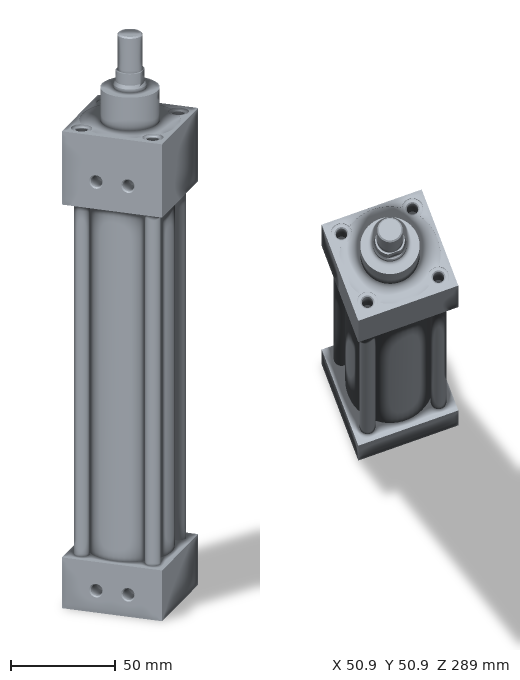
import cadquery as cq
import math

BLOCK_SIDE = 50.9
REAR_HEIGHT = 26.0
HEAD_HEIGHT = 37.5
HEAD_BOTTOM = 207.0
HEAD_TOP = HEAD_BOTTOM + HEAD_HEIGHT

BARREL_DIAMETER = 42.8
TIE_ROD_DIAMETER = 7.5
TIE_ROD_PITCH = 36.0
BARREL_LENGTH = HEAD_BOTTOM - REAR_HEIGHT

BOSS_DIAMETER = 28.3
BOSS_HEIGHT = 16.8
BOSS_TOP = HEAD_TOP + BOSS_HEIGHT
FACE_DIAMETER = 48.3
FACE_DEPTH = 0.3

MOUNT_BORE_DIAMETER = 10.0
MOUNT_BORE_DEPTH = 0.5
MOUNT_HOLE_DIAMETER = 5.5
MOUNT_HOLE_DEPTH = 14.5

PORT_PITCH = 16.2
PORT_HOLE_DIAMETER = 5.8
PORT_HOLE_DEPTH = 8.7
REAR_PORT_Z = 11.3
HEAD_PORT_Z = 220.7

ENTRY_CHAMFER = 0.5
DRILL_POINT_ANGLE = 118.0

ROD_END = 289.0
ROD_DIAMETER = 16.0
ROD_BOTTOM = HEAD_BOTTOM
ROD_SHOULDER = 263.0
NECK_DIAMETER = 14.2
NECK_BOTTOM = 264.7
THREAD_DIAMETER = 12.0
THREAD_LENGTH = 18.5
THREAD_CHAMFER = 0.72
NECK_TOP = ROD_END - THREAD_LENGTH

FLAT_WIDTH = 12.7
FLAT_BOTTOM = 263.8


def block(bottom, height):
    """Square block centred on the Z axis."""
    base = cq.Workplane("XY", origin=(0, 0, bottom))
    return base.rect(BLOCK_SIDE, BLOCK_SIDE).extrude(height)


def cylinder(diameter, bottom, height):
    """Round bar on the Z axis."""
    return cq.Workplane("XY", origin=(0, 0, bottom)).circle(diameter / 2).extrude(height)


def tie_rod_places(bottom):
    """Workplane with one point at each tie rod."""
    base = cq.Workplane("XY", origin=(0, 0, bottom))
    return base.rect(TIE_ROD_PITCH, TIE_ROD_PITCH, forConstruction=True).vertices()


def threaded_hole(diameter, depth):
    """Cutter for a chamfered hole with a drill point, going down from the origin."""
    radius = diameter / 2
    point_length = radius / math.tan(math.radians(DRILL_POINT_ANGLE / 2))
    outline = [
        (0, 0),
        (radius + ENTRY_CHAMFER, 0),
        (radius, -ENTRY_CHAMFER),
        (radius, -depth),
        (0, -depth - point_length),
    ]
    return cq.Workplane("XZ").polyline(outline).close().revolve()


def cut_turned_face(body):
    face = cylinder(FACE_DIAMETER, HEAD_TOP - FACE_DEPTH, FACE_DEPTH)
    boss = cylinder(BOSS_DIAMETER, HEAD_TOP - FACE_DEPTH, FACE_DEPTH)
    return body.cut(face.cut(boss))


def cut_mounting_holes(body):
    floor = HEAD_TOP - MOUNT_BORE_DEPTH
    bores = tie_rod_places(floor).circle(MOUNT_BORE_DIAMETER / 2).extrude(MOUNT_BORE_DEPTH)
    body = body.cut(bores)
    hole = threaded_hole(MOUNT_HOLE_DIAMETER, MOUNT_HOLE_DEPTH)
    for x in (-TIE_ROD_PITCH / 2, TIE_ROD_PITCH / 2):
        for y in (-TIE_ROD_PITCH / 2, TIE_ROD_PITCH / 2):
            body = body.cut(hole.translate((x, y, floor)))
    return body


def cut_ports(body):
    port = threaded_hole(PORT_HOLE_DIAMETER, PORT_HOLE_DEPTH).rotate((0, 0, 0), (1, 0, 0), 90)
    for z in (REAR_PORT_Z, HEAD_PORT_Z):
        for x in (-PORT_PITCH / 2, PORT_PITCH / 2):
            body = body.cut(port.translate((x, -BLOCK_SIDE / 2, z)))
    return body


def make_housing():
    body = block(0, REAR_HEIGHT)
    body = body.union(cylinder(BARREL_DIAMETER, REAR_HEIGHT, BARREL_LENGTH))
    body = body.union(tie_rod_places(REAR_HEIGHT).circle(TIE_ROD_DIAMETER / 2).extrude(BARREL_LENGTH))
    body = body.union(block(HEAD_BOTTOM, HEAD_HEIGHT))
    body = body.union(cylinder(BOSS_DIAMETER, HEAD_TOP, BOSS_HEIGHT))
    body = cut_turned_face(body)
    body = cut_mounting_holes(body)
    body = cut_ports(body)
    return body.cut(cylinder(ROD_DIAMETER, ROD_BOTTOM, BOSS_TOP - ROD_BOTTOM))


def make_piston_rod():
    outline = [
        (0, ROD_BOTTOM),
        (ROD_DIAMETER / 2, ROD_BOTTOM),
        (ROD_DIAMETER / 2, ROD_SHOULDER),
        (NECK_DIAMETER / 2, NECK_BOTTOM),
        (NECK_DIAMETER / 2, NECK_TOP),
        (THREAD_DIAMETER / 2, NECK_TOP),
        (THREAD_DIAMETER / 2, ROD_END - THREAD_CHAMFER),
        (THREAD_DIAMETER / 2 - THREAD_CHAMFER, ROD_END),
        (0, ROD_END),
    ]
    rod = cq.Workplane("XZ").polyline(outline).close().revolve()
    flats = (
        cq.Workplane("XY", origin=(0, 0, FLAT_BOTTOM))
        .rect(2 * ROD_DIAMETER, ROD_DIAMETER)
        .rect(FLAT_WIDTH, ROD_DIAMETER)
        .extrude(NECK_TOP - FLAT_BOTTOM)
    )
    return rod.cut(flats)


housing = make_housing()
piston_rod = make_piston_rod()
result = cq.Compound.makeCompound([housing.val(), piston_rod.val()])